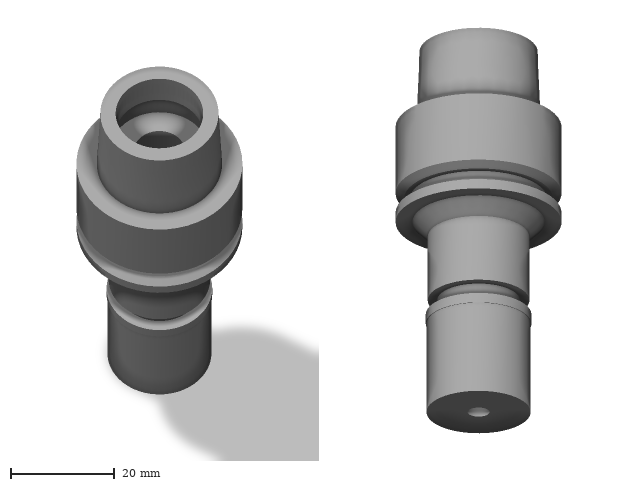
import cadquery as cq

TOTAL_HEIGHT = 76.0
NUT_BODY_TOP = 18.6
NUT_TOP = 20.6
SHANK_BOTTOM = 23.55
SHANK_TOP = 37.0
FLANGE_BOTTOM = 40.05
LOWER_RIM_TOP = 42.0
GROOVE_BOTTOM = 42.95
GROOVE_TOP = 45.0
UPPER_RIM_BOTTOM = 46.1
FLANGE_TOP = 60.1

FLANGE_RADIUS = 32.0 / 2
GROOVE_RADIUS = 13.2
GROOVE_LIP_RADIUS = 14.4
CONE_TOP_RADIUS = 11.4
CONE_BASE_RADIUS = 12.1
TRANSITION_RADIUS = 12.8
SHANK_RADIUS = 9.8
NUT_RADIUS = 10.0
COLLAR_RADIUS = 10.2
COLLET_RADIUS = 8.0

MOUTH_RADIUS = 8.4
MOUTH_DEPTH = 6.7
CAVITY_RADIUS = 9.5
CAVITY_DEPTH = 12.0
PASSAGE_RADIUS = 4.95
COLLET_HOLE_RADIUS = 2.1


def cylinder(radius, bottom, top):
    """Cylinder on the tool axis between two heights."""
    return cq.Workplane("XY").workplane(offset=bottom).circle(radius).extrude(top - bottom)


def make_holder():
    """Tapered tool holder with a gripper groove and a stepped axial bore."""
    outline = [
        (0, SHANK_BOTTOM),
        (SHANK_RADIUS, SHANK_BOTTOM),
        (SHANK_RADIUS, SHANK_TOP),
        (TRANSITION_RADIUS, FLANGE_BOTTOM),
        (FLANGE_RADIUS, FLANGE_BOTTOM),
        (FLANGE_RADIUS, LOWER_RIM_TOP),
        (GROOVE_LIP_RADIUS, GROOVE_BOTTOM),
        (GROOVE_RADIUS, GROOVE_BOTTOM),
        (GROOVE_RADIUS, GROOVE_TOP),
        (GROOVE_LIP_RADIUS, GROOVE_TOP),
        (FLANGE_RADIUS, UPPER_RIM_BOTTOM),
        (FLANGE_RADIUS, FLANGE_TOP),
        (CONE_BASE_RADIUS, FLANGE_TOP),
        (CONE_TOP_RADIUS, TOTAL_HEIGHT),
        (0, TOTAL_HEIGHT),
    ]
    body = cq.Workplane("XZ").polyline(outline).close().revolve(360, (0, 0, 0), (0, 1, 0))
    mouth_bottom = TOTAL_HEIGHT - MOUTH_DEPTH
    cavity_bottom = TOTAL_HEIGHT - CAVITY_DEPTH
    return (
        body.cut(cylinder(MOUTH_RADIUS, mouth_bottom, TOTAL_HEIGHT))
        .cut(cylinder(CAVITY_RADIUS, cavity_bottom, mouth_bottom))
        .cut(cylinder(PASSAGE_RADIUS, SHANK_BOTTOM, cavity_bottom))
    )


def make_collet():
    """Plain collet sleeve, bridging the gap between shank and nut and running down through the nut."""
    return cylinder(COLLET_RADIUS, 0, SHANK_BOTTOM).cut(cylinder(COLLET_HOLE_RADIUS, 0, SHANK_BOTTOM))


def make_nut():
    """Clamping nut with a slim collar at its top and a bore for the collet."""
    skirt = cylinder(NUT_RADIUS, 0, NUT_BODY_TOP)
    collar = cylinder(COLLAR_RADIUS, NUT_BODY_TOP, NUT_TOP)
    return skirt.union(collar).cut(cylinder(COLLET_RADIUS, 0, NUT_TOP))


holder = make_holder()
collet = make_collet()
nut = make_nut()
result = cq.Compound.makeCompound([holder.val(), collet.val(), nut.val()])